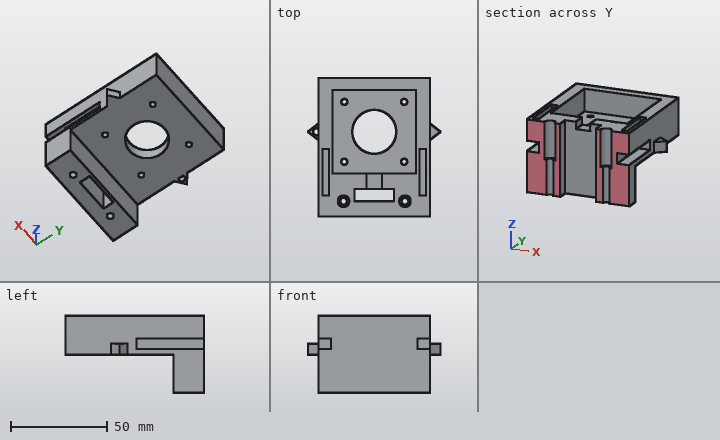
import cadquery as cq

body_width = 57.9
body_length = 72.0
body_height = 40.0
plate_thickness = 20.4
leg_length = 16.0
front_y = -body_length / 2
back_y = body_length / 2
top_z = body_height
plate_bottom_z = top_z - plate_thickness

motor_y = back_y - 28.0
pocket_size = 43.4
pocket_depth = 12.4
bore_diameter = 22.7
mount_hole_diameter = 3.0
mount_hole_spacing = 31.0

window_width = 20.2
window_back_y = back_y - 57.7
window_length = 6.3
window_front_y = window_back_y - window_length
groove_width = 8.1
groove_depth = 4.0

screw_spacing = 31.8
screw_diameter = 3.5
counterbore_diameter = 6.0
counterbore_depth = plate_thickness

channel_length = 35.1
channel_depth = 6.6
channel_height = 5.5
channel_top_depth = 11.9
channel_back_y = front_y + channel_length
channel_top_z = top_z - channel_top_depth
slot_width = 3.2
slot_length = 24.05
slot_center_x = 25.1

tip_to_tip = 69.0
tab_half_base = 4.25
tab_height = 5.8
tab_hole_diameter = 3.5
tab_hole_x = -29.95


def block(x_range, y_range, z_range):
    """Axis-aligned box between the given pairs of limits."""
    sizes = [high - low for low, high in (x_range, y_range, z_range)]
    corner = (x_range[0], y_range[0], z_range[0])
    return cq.Workplane("XY").box(*sizes, centered=False).translate(corner)


def make_body():
    half_width = body_width / 2
    plate = block((-half_width, half_width), (front_y, back_y), (plate_bottom_z, top_z))
    leg = block((-half_width, half_width), (front_y, front_y + leg_length), (0, top_z))
    return plate.union(leg)


def make_tab(side):
    """Triangular tab on the side given by -1 (left) or +1 (right)."""
    wall_x = side * body_width / 2
    outline = [
        (wall_x, motor_y - tab_half_base),
        (side * tip_to_tip / 2, motor_y),
        (wall_x, motor_y + tab_half_base),
    ]
    return cq.Workplane("XY", origin=(0, 0, plate_bottom_z)).polyline(outline).close().extrude(tab_height)


def make_tab_hole():
    hole = cq.Workplane("XY", origin=(tab_hole_x, motor_y, plate_bottom_z))
    return hole.circle(tab_hole_diameter / 2).extrude(tab_height)


def cut_motor_seat(part):
    seat = part.faces(">Z").workplane(origin=(0, motor_y, top_z))
    part = seat.rect(pocket_size, pocket_size).cutBlind(-pocket_depth)
    bore = cq.Workplane("XY", origin=(0, motor_y, 0)).circle(bore_diameter / 2).extrude(top_z)
    mount_holes = (
        cq.Workplane("XY", origin=(0, motor_y, 0))
        .rect(mount_hole_spacing, mount_hole_spacing, forConstruction=True)
        .vertices()
        .circle(mount_hole_diameter / 2)
        .extrude(top_z)
    )
    return part.cut(bore).cut(mount_holes)


def cut_window(part):
    half_window = window_width / 2
    half_groove = groove_width / 2
    window = block((-half_window, half_window), (window_front_y, window_back_y), (0, top_z))
    groove = block((-half_groove, half_groove), (window_back_y, motor_y), (top_z - groove_depth, top_z))
    return part.cut(window).cut(groove)


def cut_screw_holes(part):
    top = part.faces(">Z").workplane(origin=(0, window_front_y, top_z))
    centers = [(-screw_spacing / 2, 0), (screw_spacing / 2, 0)]
    return top.pushPoints(centers).cboreHole(screw_diameter, counterbore_diameter, counterbore_depth)


def cut_side_channel(part, side):
    """Side channel, and the slot that drops into it from the top face."""
    wall_x = side * body_width / 2
    channel_x = sorted((wall_x, wall_x - side * channel_depth))
    channel = block(channel_x, (front_y, channel_back_y), (channel_top_z - channel_height, channel_top_z))
    slot_x = (side * slot_center_x - slot_width / 2, side * slot_center_x + slot_width / 2)
    slot = block(slot_x, (channel_back_y - slot_length, channel_back_y), (channel_top_z, top_z))
    return part.cut(channel).cut(slot)


result = cut_motor_seat(make_body())
result = cut_window(result)
result = cut_screw_holes(result)
for side in (-1, 1):
    result = cut_side_channel(result, side)
result = result.union(make_tab(-1).cut(make_tab_hole())).union(make_tab(1))